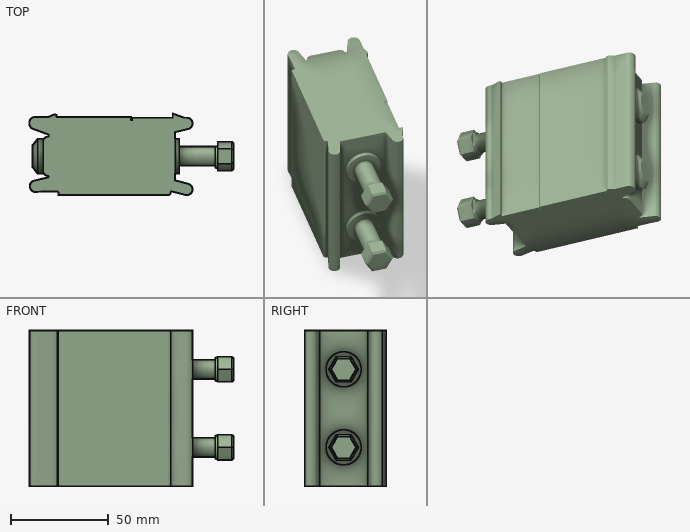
import cadquery as cq
import math


BODY_HEIGHT = 80.0
BODY_LENGTH = 83.84
BACK_FACE_Y = 20.2
FRONT_FACE_Y = -20.0

LEFT_FACE_X = 7.2
LEFT_FACE_HALF_WIDTH = 7.5
LEFT_SHOULDER_RADIUS = 2.6
NOTCH_X = 9.85
NOTCH_BACK_Y = 11.1
NOTCH_FRONT_Y = -10.75
BACK_PEAK_START_X = 10.0
BACK_PEAK_X = 13.0
BACK_PEAK_Y = 21.5
BACK_STEP_X = 14.1
BACK_STEP_Y = 21.25
FRONT_LIP_START_X = 7.7
FRONT_LIP_Y = -18.1
FRONT_STEP_X = 15.0
FRONT_STEP_BEVEL = 0.45

RIGHT_FACE_X = 74.85
RIGHT_FACE_HALF_WIDTH = 12.3
BACK_HOOK_X = 73.6
BACK_HOOK_Y = 21.95
HOOK_BASE_X = 79.4
RECESS_Y = 19.8
FRONT_ROUND_START_X = 71.0
FRONT_ROUND_RADIUS = 1.7
FRONT_RIDGE_X = 73.15

GROOVE_X = 52.25
GROOVE_WIDTH = 0.5
GROOVE_FLOOR_Y = 18.5

BACK_LEFT_TIP_RADIUS = 3.25
BACK_RIGHT_TIP_RADIUS = 3.0
FRONT_LEFT_TIP_RADIUS = 3.0
FRONT_LEFT_TIP_X = 0.3
FRONT_LEFT_TIP_Y = -18.4
FRONT_RIGHT_TIP_RADIUS = 3.0
BACK_LEFT_SLOPE = 25.0
BACK_RIGHT_SLOPE = 12.0
FRONT_LEFT_SLOPE = 13.0
FRONT_RIGHT_INNER_SLOPE = 14.0
FRONT_RIGHT_OUTER_SLOPE = 15.5

BOLT_HEIGHTS = (20.0, 60.0)
BOLT_START_X = 1.7
BOLT_END_X = 104.98
PLUG_DIAMETER = 18.0
PLUG_TIP_DIAMETER = 11.2
PLUG_CONE_END_X = 4.45
PLUG_END_X = 77.0
SHANK_DIAMETER = 10.0
COLLAR_LENGTH = 1.35
COLLAR_START_DIAMETER = 11.5
COLLAR_DIAMETER = 12.35
COLLAR_FLAT_Y = 4.8
HEX_START_X = 96.65
HEX_ACROSS_FLATS = 13.0
HEX_CHAMFER = 1.0


def on_circle(center, radius, angle):
    """Point on a circle at an angle in degrees, measured from +X toward +Y."""
    turn = math.radians(angle)
    return (center[0] + radius * math.cos(turn), center[1] + radius * math.sin(turn))


def tip_arc(outline, center, radius, start_angle, end_angle):
    """Go straight to the start of a rounded lip tip and follow its arc."""
    middle_angle = (start_angle + end_angle) / 2
    outline = outline.lineTo(*on_circle(center, radius, start_angle))
    return outline.threePointArc(
        on_circle(center, radius, middle_angle),
        on_circle(center, radius, end_angle),
    )


def make_body():
    """Extruded clamp profile with four rounded lips."""
    back_left = (BACK_LEFT_TIP_RADIUS, BACK_FACE_Y - BACK_LEFT_TIP_RADIUS)
    back_right = (BODY_LENGTH - BACK_RIGHT_TIP_RADIUS, RECESS_Y - BACK_RIGHT_TIP_RADIUS)
    front_left = (FRONT_LEFT_TIP_X + FRONT_LEFT_TIP_RADIUS, FRONT_LEFT_TIP_Y + FRONT_LEFT_TIP_RADIUS)
    front_right = (BODY_LENGTH - FRONT_RIGHT_TIP_RADIUS, FRONT_FACE_Y + FRONT_RIGHT_TIP_RADIUS)
    shoulder_y = LEFT_FACE_HALF_WIDTH + LEFT_SHOULDER_RADIUS
    shoulder_x = LEFT_FACE_X + LEFT_SHOULDER_RADIUS
    front_round_center = (FRONT_ROUND_START_X, FRONT_FACE_Y + FRONT_ROUND_RADIUS)

    outline = cq.Workplane("XY").moveTo(BACK_PEAK_START_X, BACK_FACE_Y)
    outline = outline.lineTo(BACK_PEAK_X, BACK_PEAK_Y)
    outline = outline.lineTo(BACK_STEP_X, BACK_STEP_Y)
    outline = outline.lineTo(BACK_STEP_X, BACK_FACE_Y)
    outline = outline.lineTo(GROOVE_X, BACK_FACE_Y)
    outline = outline.lineTo(GROOVE_X, GROOVE_FLOOR_Y)
    outline = outline.lineTo(GROOVE_X + GROOVE_WIDTH, GROOVE_FLOOR_Y)
    outline = outline.lineTo(GROOVE_X + GROOVE_WIDTH, RECESS_Y)
    outline = outline.lineTo(BACK_HOOK_X, RECESS_Y)
    outline = outline.lineTo(BACK_HOOK_X, BACK_HOOK_Y)
    outline = outline.lineTo(HOOK_BASE_X, RECESS_Y)

    outline = tip_arc(outline, back_right, BACK_RIGHT_TIP_RADIUS, 90, -90 + BACK_RIGHT_SLOPE)
    outline = outline.lineTo(RIGHT_FACE_X, RIGHT_FACE_HALF_WIDTH)
    outline = outline.lineTo(RIGHT_FACE_X, -RIGHT_FACE_HALF_WIDTH)
    outline = tip_arc(
        outline,
        front_right,
        FRONT_RIGHT_TIP_RADIUS,
        90 - FRONT_RIGHT_INNER_SLOPE,
        -90 - FRONT_RIGHT_OUTER_SLOPE,
    )

    outline = outline.lineTo(FRONT_RIDGE_X, FRONT_LIP_Y)
    outline = outline.lineTo(FRONT_ROUND_START_X + FRONT_ROUND_RADIUS, FRONT_LIP_Y)
    outline = tip_arc(outline, front_round_center, FRONT_ROUND_RADIUS, 0, -90)
    outline = outline.lineTo(FRONT_STEP_X, FRONT_FACE_Y)
    outline = outline.lineTo(FRONT_STEP_X, FRONT_LIP_Y - FRONT_STEP_BEVEL)
    outline = outline.lineTo(FRONT_STEP_X - FRONT_STEP_BEVEL, FRONT_LIP_Y)
    outline = outline.lineTo(FRONT_LIP_START_X, FRONT_LIP_Y)

    outline = tip_arc(outline, front_left, FRONT_LEFT_TIP_RADIUS, 270, 90 + FRONT_LEFT_SLOPE)
    outline = outline.lineTo(NOTCH_X, NOTCH_FRONT_Y)
    outline = tip_arc(outline, (shoulder_x, -LEFT_FACE_HALF_WIDTH), LEFT_SHOULDER_RADIUS, 270, 180)
    outline = tip_arc(outline, (shoulder_x, LEFT_FACE_HALF_WIDTH), LEFT_SHOULDER_RADIUS, 180, 90)
    outline = outline.lineTo(NOTCH_X, shoulder_y).lineTo(NOTCH_X, NOTCH_BACK_Y)
    outline = tip_arc(outline, back_left, BACK_LEFT_TIP_RADIUS, 270 - BACK_LEFT_SLOPE, 90)
    return outline.close().extrude(BODY_HEIGHT)


def make_turned_part():
    """Turned part of a bolt: coned plug and shank."""
    return (
        cq.Workplane("XY")
        .moveTo(BOLT_START_X, 0)
        .lineTo(BOLT_START_X, PLUG_TIP_DIAMETER / 2)
        .lineTo(PLUG_CONE_END_X, PLUG_DIAMETER / 2)
        .lineTo(PLUG_END_X, PLUG_DIAMETER / 2)
        .lineTo(PLUG_END_X, SHANK_DIAMETER / 2)
        .lineTo(HEX_START_X, SHANK_DIAMETER / 2)
        .lineTo(HEX_START_X, 0)
        .close()
        .revolve(360, (0, 0, 0), (1, 0, 0))
    )


def make_collar():
    """Collar under the head with a rounded rim, cut flat on its back side."""
    collar_start_x = HEX_START_X - COLLAR_LENGTH
    rim_rise = (COLLAR_DIAMETER - COLLAR_START_DIAMETER) / 2
    rim_radius = (COLLAR_LENGTH**2 + rim_rise**2) / (2 * rim_rise)
    collar = (
        cq.Workplane("XY")
        .moveTo(collar_start_x, 0)
        .lineTo(collar_start_x, COLLAR_START_DIAMETER / 2)
        .radiusArc((HEX_START_X, COLLAR_DIAMETER / 2), rim_radius)
        .lineTo(HEX_START_X, 0)
        .close()
        .revolve(360, (0, 0, 0), (1, 0, 0))
    )
    kept_side = (
        cq.Workplane("XY")
        .box(COLLAR_LENGTH, COLLAR_DIAMETER, COLLAR_DIAMETER, centered=(False, False, True))
        .translate((collar_start_x, COLLAR_FLAT_Y - COLLAR_DIAMETER, 0))
    )
    return collar.intersect(kept_side)


def make_head():
    """Hexagonal bolt head with two flats facing up and down and a chamfered end."""
    return (
        cq.Workplane("YZ", origin=(HEX_START_X, 0, 0))
        .transformed(rotate=(0, 0, 30))
        .polygon(6, HEX_ACROSS_FLATS, circumscribed=True)
        .extrude(BOLT_END_X - HEX_START_X)
        .faces(">X")
        .chamfer(HEX_CHAMFER)
    )


def make_bolt():
    """Complete bolt along the X axis."""
    return make_turned_part().union(make_collar()).union(make_head())


result = make_body()
for bolt_height in BOLT_HEIGHTS:
    result = result.union(make_bolt().translate((0, 0, bolt_height)))